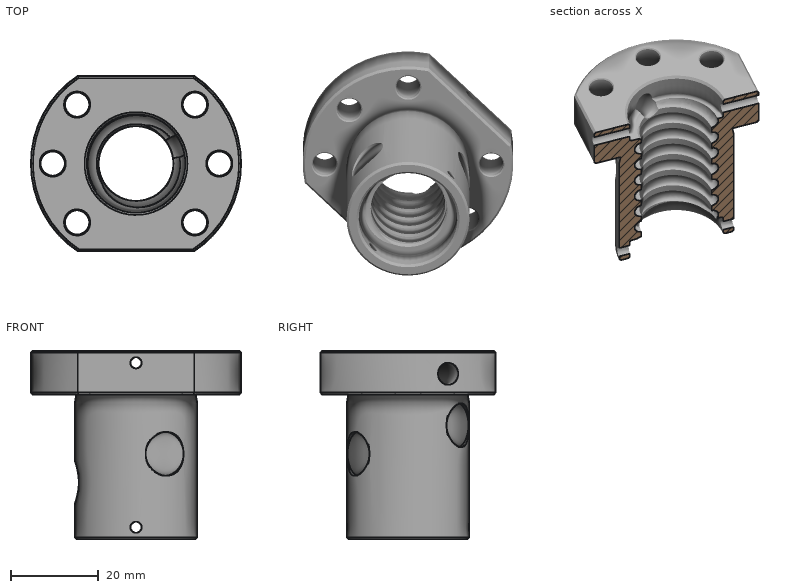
import cadquery as cq
import math

total_height = 43.0
flange_thickness = 10.0
flange_diameter = 48.0
flange_width = 40.0
body_diameter = 28.0
flange_underside = total_height - flange_thickness
edge_chamfer = 0.5

neck_height = 2.0
neck_top_diameter = 27.3

bore_diameter = 17.0
bore_chamfer = 0.5
seat_diameter = 22.5
seat_depth = 5.5
seat_mouth_chamfer = 0.5
seat_corner_radius = 0.25
upper_seat_floor = total_height - seat_depth

groove_lead = 5.0
groove_radius = 1.65
groove_base_angle = 144.0
groove_turns = math.ceil((upper_seat_floor + groove_radius) / groove_lead)

bolt_hole_diameter = 5.5
bolt_hole_chamfer = 0.25
bolt_circle_radius = 19.0
bolt_angles = (0, 45, 135, 180, 225, 315)

screw_hole_diameter = 2.5
screw_hole_inset = seat_depth / 2

oil_port_diameter = 5.0
oil_port_angle = 22.5
oil_port_height = 37.75

recess_count = 3
recess_diameter = 10.0
recess_floor_radius = 13.0
recess_first_height = 13.0
recess_rise = 6.5
recess_first_angle = 180.0
recess_angle_step = 360.0 / recess_count


def radial_cylinder(diameter, inner_radius, outer_radius, angle, height):
    """Cylinder whose axis runs outward from the nut axis at the given angle and height."""
    direction = cq.Vector(math.cos(math.radians(angle)), math.sin(math.radians(angle)), 0)
    start = direction * inner_radius + cq.Vector(0, 0, height)
    base_plane = cq.Plane(origin=start, xDir=(0, 0, 1), normal=direction)
    return cq.Workplane(base_plane).circle(diameter / 2).extrude(outer_radius - inner_radius)


def make_flange():
    disc = cq.Workplane("XY").workplane(offset=flange_underside).circle(flange_diameter / 2)
    disc = disc.extrude(flange_thickness)
    slab = cq.Workplane("XY").workplane(offset=flange_underside).rect(flange_diameter, flange_width)
    flange = disc.intersect(slab.extrude(flange_thickness))
    return flange.faces("|Z").edges().chamfer(edge_chamfer)


def make_body():
    radius = body_diameter / 2
    neck_top_radius = neck_top_diameter / 2
    profile = (
        cq.Workplane("XZ")
        .lineTo(radius - edge_chamfer, 0)
        .lineTo(radius, edge_chamfer)
        .lineTo(radius, flange_underside - neck_height)
        .lineTo(neck_top_radius, flange_underside)
        .lineTo(neck_top_radius, upper_seat_floor)
        .lineTo(0, upper_seat_floor)
        .close()
    )
    return profile.revolve(360, (0, 0, 0), (0, 1, 0))


def make_bore():
    """Cutter for the bore and both seats: the lower half and its mirror about mid-height."""
    bore_radius = bore_diameter / 2
    seat_radius = seat_diameter / 2
    middle = total_height / 2
    corner_inset = seat_corner_radius * (1 - math.sqrt(0.5))
    half = (
        cq.Workplane("XZ")
        .lineTo(seat_radius + seat_mouth_chamfer, 0)
        .lineTo(seat_radius, seat_mouth_chamfer)
        .lineTo(seat_radius, seat_depth - seat_corner_radius)
        .threePointArc(
            (seat_radius - corner_inset, seat_depth - corner_inset),
            (seat_radius - seat_corner_radius, seat_depth),
        )
        .lineTo(bore_radius + bore_chamfer, seat_depth)
        .lineTo(bore_radius, seat_depth + bore_chamfer)
        .lineTo(bore_radius, middle)
        .lineTo(0, middle)
        .close()
        .revolve(360, (0, 0, 0), (0, 1, 0))
    )
    return half.union(half.mirror("XY", (0, 0, middle)))


def cut_ball_groove(part):
    """Cut the helical groove one full turn at a time, from the base to past the upper seat floor."""
    bore_radius = bore_diameter / 2
    path = cq.Wire.makeHelix(groove_lead, groove_lead, bore_radius)
    turn = (
        cq.Workplane("XZ", origin=(bore_radius, 0, 0))
        .circle(groove_radius)
        .sweep(cq.Workplane(path), isFrenet=True)
        .rotate((0, 0, 0), (0, 0, 1), groove_base_angle)
    )
    for index in range(groove_turns):
        part = part.cut(turn.translate((0, 0, index * groove_lead)))
    return part


def cut_bolt_holes(part):
    radius = bolt_hole_diameter / 2
    mouth_radius = radius + bolt_hole_chamfer
    hole = (
        cq.Workplane("XZ")
        .moveTo(0, flange_underside)
        .lineTo(mouth_radius, flange_underside)
        .lineTo(radius, flange_underside + bolt_hole_chamfer)
        .lineTo(radius, total_height - bolt_hole_chamfer)
        .lineTo(mouth_radius, total_height)
        .lineTo(0, total_height)
        .close()
        .revolve(360, (0, 0, 0), (0, 1, 0))
        .translate((bolt_circle_radius, 0, 0))
    )
    for angle in bolt_angles:
        part = part.cut(hole.rotate((0, 0, 0), (0, 0, 1), angle))
    return part


def cut_screw_holes(part):
    for height in (screw_hole_inset, total_height - screw_hole_inset):
        part = part.cut(radial_cylinder(screw_hole_diameter, -flange_width, flange_width, 90, height))
    return part


def cut_recesses(part):
    for index in range(recess_count):
        angle = recess_first_angle + index * recess_angle_step
        height = recess_first_height + index * recess_rise
        part = part.cut(
            radial_cylinder(recess_diameter, recess_floor_radius, body_diameter, angle, height)
        )
    return part


result = make_flange().union(make_body())
result = result.cut(make_bore())
result = cut_ball_groove(result)
result = cut_bolt_holes(result)
result = cut_screw_holes(result)
result = cut_recesses(result)
result = result.cut(
    radial_cylinder(oil_port_diameter, 0, flange_diameter, oil_port_angle, oil_port_height)
)